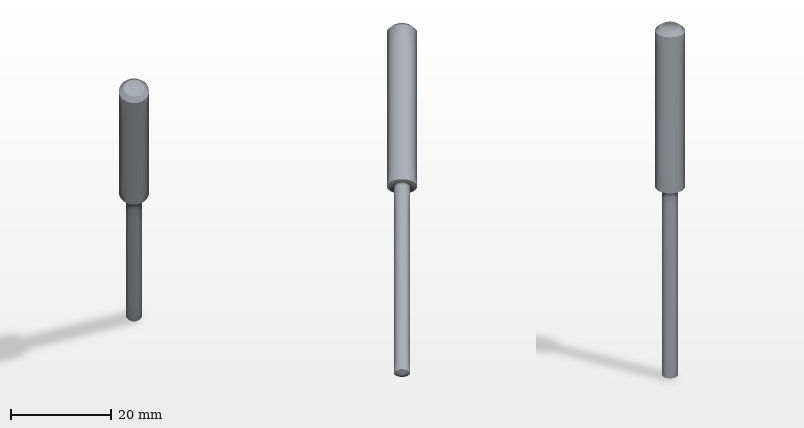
import cadquery as cq
import math

total_length = 79.0
shank_diameter = 6.0
shank_length = 36.0
shank_chamfer_width = 0.95
shank_chamfer_height = 0.9
drill_diameter = 3.2
cutting_length = 25.35
point_angle = 140.0

shank_radius = shank_diameter / 2
drill_radius = drill_diameter / 2
shank_bottom = total_length - shank_length
neck_length = shank_bottom - cutting_length
point_height = drill_radius / math.tan(math.radians(point_angle / 2))


def make_cutting_part():
    """Cylindrical cutting part with a conical point at its lower end."""
    return (
        cq.Workplane("XZ")
        .lineTo(drill_radius, point_height)
        .lineTo(drill_radius, cutting_length)
        .lineTo(0, cutting_length)
        .close()
        .revolve(360, (0, 0, 0), (0, 1, 0))
    )


def make_holder():
    """Plain neck and the thicker shank above it, chamfered at the top."""
    neck = (
        cq.Workplane("XY")
        .workplane(offset=cutting_length)
        .circle(drill_radius)
        .extrude(neck_length)
    )
    shank = (
        cq.Workplane("XY")
        .workplane(offset=shank_bottom)
        .circle(shank_radius)
        .extrude(shank_length)
        .faces(">Z")
        .chamfer(shank_chamfer_height, shank_chamfer_width)
    )
    return neck.union(shank).solids()


cutting_part = make_cutting_part()
holder = make_holder()

result = cq.Compound.makeCompound([cutting_part.val(), holder.val()])